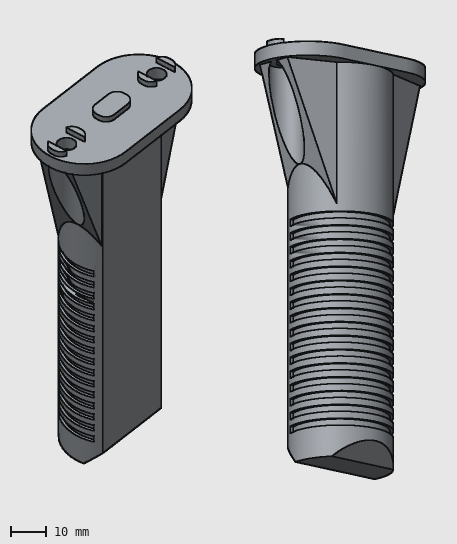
import cadquery as cq
import math

total_height = 120.0
plate_width = 30.0
plate_length = 54.0

plate_thickness = 4.1
lug_height = 1.8
plate_top = total_height - lug_height
plate_bottom = plate_top - plate_thickness

lug_width = 7.0
lug_length = 12.0
lug_corner_radius = 3.0
split_lug_gap = 7.9

screw_spacing = 40.0
screw_hole_diameter = 5.6
clearance_diameter = 10.0

handle_radius = plate_width / 2
flat_x = handle_radius / 2
tip_chamfer = 5.4

groove_count = 16
groove_span = 60.0
groove_pitch = groove_span / (groove_count - 1)
groove_height = groove_pitch / 2
groove_depth = 1.0
groove_end_x = 5.0
lowest_groove_z = 9.0

wing_reach = 24.8
wing_tip_width = 11.6
wing_height = 40.8
wing_bottom = plate_bottom - wing_height
wing_root_angle = 45
wing_root = handle_radius * math.cos(math.radians(wing_root_angle))


def make_plate():
    return (
        cq.Workplane("XY")
        .workplane(offset=plate_bottom)
        .slot2D(plate_length, plate_width, 90)
        .extrude(plate_thickness)
    )


def make_handle():
    """D-shaped shaft with both edges of its lower end bevelled at 45 degrees."""
    shaft = cq.Workplane("XY").circle(handle_radius).extrude(plate_bottom)
    side_profile = (
        cq.Workplane("XZ")
        .moveTo(-handle_radius + tip_chamfer, 0)
        .lineTo(flat_x - tip_chamfer, 0)
        .lineTo(flat_x, tip_chamfer)
        .lineTo(flat_x, plate_bottom)
        .lineTo(-handle_radius, plate_bottom)
        .lineTo(-handle_radius, tip_chamfer)
        .close()
        .extrude(handle_radius, both=True)
    )
    return shaft.intersect(side_profile)


def make_groove(bottom_z):
    """Ring around the handle that stops short of the flat side."""
    ring = (
        cq.Workplane("XY")
        .workplane(offset=bottom_z)
        .circle(handle_radius + groove_depth)
        .circle(handle_radius - groove_depth)
        .extrude(groove_height)
    )
    grooved_side = (
        cq.Workplane("XY")
        .workplane(offset=bottom_z)
        .center(groove_end_x - plate_length / 2, 0)
        .rect(plate_length, plate_length)
        .extrude(groove_height)
    )
    return ring.intersect(grooved_side)


def make_wing():
    """Wing on the -Y side, narrowing outward and sloping down into the handle."""
    plan = (
        cq.Workplane("XY")
        .workplane(offset=wing_bottom)
        .polyline([
            (0, 0),
            (-wing_root, -wing_root),
            (-wing_tip_width / 2, -wing_reach),
            (wing_tip_width / 2, -wing_reach),
            (flat_x, -wing_root),
            (flat_x, 0),
        ])
        .close()
        .extrude(wing_height)
    )
    slope = (
        cq.Workplane("YZ")
        .polyline([
            (0, wing_bottom),
            (-wing_root, wing_bottom),
            (-wing_reach, plate_bottom),
            (0, plate_bottom),
        ])
        .close()
        .extrude(plate_width, both=True)
    )
    clearance = (
        cq.Workplane("XY")
        .center(0, -screw_spacing / 2)
        .circle(clearance_diameter / 2)
        .extrude(plate_bottom)
    )
    return plan.intersect(slope).cut(clearance)


def make_lug():
    return (
        cq.Workplane("XY")
        .workplane(offset=plate_top)
        .rect(lug_width, lug_length)
        .extrude(lug_height)
        .edges("|Z")
        .fillet(lug_corner_radius)
    )


def make_split_lug():
    """Only the two rounded ends of a lug, leaving the screw hole free between them."""
    gap = (
        cq.Workplane("XY")
        .workplane(offset=plate_top)
        .rect(plate_width, split_lug_gap)
        .extrude(lug_height)
    )
    return make_lug().cut(gap)


handle = make_handle()
for index in range(groove_count):
    handle = handle.cut(make_groove(lowest_groove_z + index * groove_pitch))

wing = make_wing()
result = make_plate().union(handle).union(wing).union(wing.mirror("XZ")).union(make_lug())

for screw_y in (-screw_spacing / 2, screw_spacing / 2):
    screw_hole = (
        cq.Workplane("XY")
        .workplane(offset=plate_bottom)
        .center(0, screw_y)
        .circle(screw_hole_diameter / 2)
        .extrude(plate_thickness)
    )
    result = result.cut(screw_hole).union(make_split_lug().translate((0, screw_y, 0)))